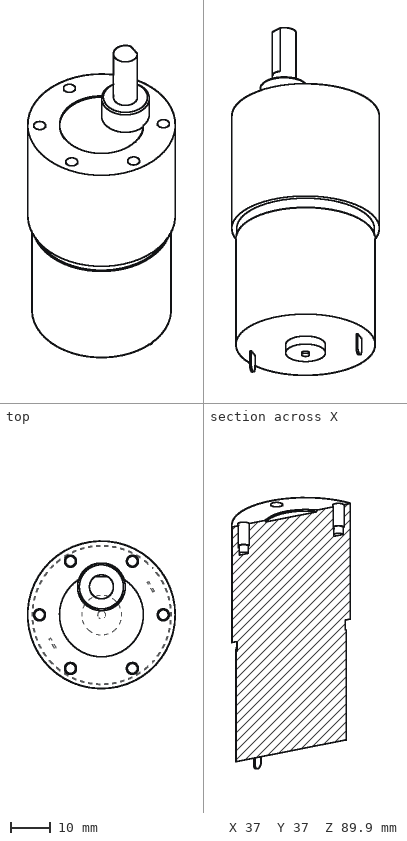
import cadquery as cq

total_height = 89.9
motor_bottom = 5.0
motor_top = 35.0
gearbox_bottom = 37.5
gearbox_top = 68.9
boss_height = 6.0
boss_top = gearbox_top + boss_height

gearbox_diameter = 37.0
motor_diameter = 35.0
neck_diameter = 34.5
motor_chamfer = (motor_diameter - neck_diameter) / 2

shaft_offset = 7.0
shaft_diameter = 6.0
boss_diameter = 12.0
boss_chamfer = 0.45
flat_depth = 0.45
flat_start = boss_top + 3.0

recess_diameter = 21.0
recess_depth = 0.45
hole_count = 6
hole_circle_diameter = 31.0
hole_diameter = 3.0
hole_depth = 6.0
pilot_diameter = 2.5
pilot_depth = 8.0

cap_diameter = 10.0
cap_height = 2.25
rear_shaft_diameter = 2.0
rear_shaft_height = 0.5

terminal_radius = 14.2
terminal_angle = 30
terminal_thickness = 0.45
terminal_width = 2.8


def cylinder(diameter, bottom, top, y=0):
    return cq.Workplane("XY", origin=(0, y, bottom)).circle(diameter / 2).extrude(top - bottom)


def mounting_holes(diameter, depth):
    return (
        cq.Workplane("XY", origin=(0, 0, gearbox_top - depth))
        .polarArray(hole_circle_diameter / 2, 0, 360, hole_count)
        .circle(diameter / 2)
        .extrude(depth)
    )


def make_gearbox():
    gearbox = cylinder(gearbox_diameter, gearbox_bottom, gearbox_top)
    gearbox = gearbox.cut(cylinder(recess_diameter, gearbox_top - recess_depth, gearbox_top))
    gearbox = gearbox.cut(mounting_holes(hole_diameter, hole_depth))
    return gearbox.cut(mounting_holes(pilot_diameter, pilot_depth))


def make_motor():
    motor = cylinder(motor_diameter, motor_bottom, motor_top).faces(">Z").chamfer(motor_chamfer)
    neck = cylinder(neck_diameter, motor_top, gearbox_bottom)
    cap_bottom = motor_bottom - cap_height
    cap = cylinder(cap_diameter, cap_bottom, motor_bottom)
    rear_shaft = cylinder(rear_shaft_diameter, cap_bottom - rear_shaft_height, cap_bottom)
    return motor.union(neck).union(cap).union(rear_shaft)


def make_output_shaft():
    boss = cylinder(boss_diameter, gearbox_top - recess_depth, boss_top, shaft_offset)
    boss = boss.faces(">Z").chamfer(boss_chamfer)
    shaft = cylinder(shaft_diameter, boss_top, total_height, shaft_offset)
    flat_y = shaft_offset + shaft_diameter / 2 - flat_depth
    flat = (
        cq.Workplane("XY", origin=(0, flat_y, flat_start))
        .box(shaft_diameter, shaft_diameter, total_height - flat_start, centered=(True, False, False))
    )
    return boss.union(shaft.cut(flat))


def make_terminal(angle):
    half_width = terminal_width / 2
    blade = (
        cq.Workplane("YZ", origin=(terminal_radius - terminal_thickness / 2, 0, 0))
        .moveTo(-half_width, motor_bottom)
        .lineTo(-half_width, half_width)
        .threePointArc((0, 0), (half_width, half_width))
        .lineTo(half_width, motor_bottom)
        .close()
        .extrude(terminal_thickness)
    )
    return blade.rotate((0, 0, 0), (0, 0, 1), angle)


result = make_gearbox().union(make_motor()).union(make_output_shaft())
for angle in (terminal_angle, terminal_angle + 180):
    result = result.union(make_terminal(angle))